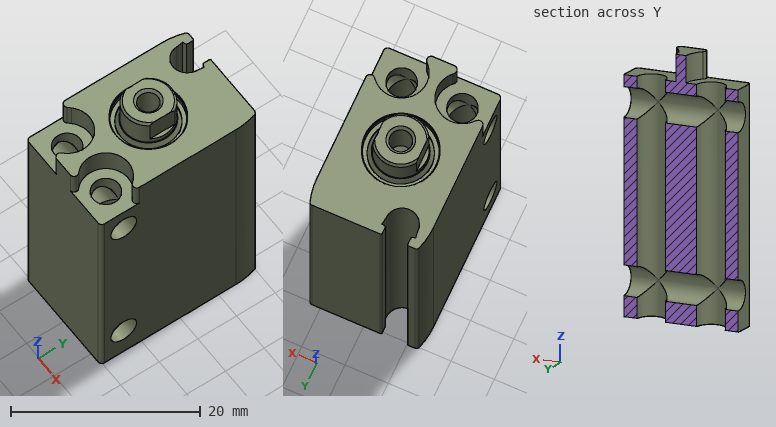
import cadquery as cq
import math

WIDTH = 13.5
DEPTH = 20.5
BODY_HEIGHT = 29.5
TOTAL_HEIGHT = 32.5
EDGE_RADIUS = 0.5
BACK_EDGE_RADIUS = 0.4
SIDE_CURVE_LENGTH = 3.0
SIDE_CURVE_INSET = 0.52

HOLE_DIAMETER = 3.3
HOLE_HALF_SPACING = 3.5
HOLE_Y = 3.0
RECESS_DIAMETER = 5.8
RECESS_DEPTH = 3.0
CROSS_HOLE_HEIGHTS = (4.0, 23.5)

SLOT_X = -3.58
SLOT_NECK_WIDTH = 2.95
SLOT_NECK_DEPTH = 0.98
SLOT_MOUTH_WIDTH = 3.87
SLOT_SHOULDER_RISE = 0.15
SLOT_DIAMETER = 3.65
SLOT_DEPTH = 3.77
SLOT_LIP_RADIUS = 0.15

ROD_Y = 11.0
ROD_DIAMETER = 6.0
ROD_CHAMFER = 0.25
ROD_BOTTOM_DROP = 5.0
FLAT_WIDTH = 5.07
FLAT_BOTTOM_GAP = 0.23
TAPPED_HOLE_DIAMETER = 2.47
TAPPED_HOLE_CHAMFER = 0.32
TAPPED_HOLE_DEPTH = 5.0
DRILL_POINT_ANGLE = 118.0
BORE_MOUTH_DIAMETER = 8.3
BORE_MOUTH_DEPTH = 0.25
BORE_DIAMETER = 8.1
BORE_DEPTH = 0.8

LIP_TOP_DIAMETER = 6.2
LIP_BASE_DIAMETER = 7.1
LIP_TOP_DROP = 0.4
LIP_BASE_DROP = 1.15


def cylinder(diameter, x, y, bottom, top):
    """Upright cylinder between two heights."""
    return cq.Workplane("XY", origin=(x, y, bottom)).circle(diameter / 2).extrude(top - bottom)


def make_block():
    half = WIDTH / 2
    curve_start = DEPTH - SIDE_CURVE_LENGTH
    back_half = half - SIDE_CURVE_INSET
    curve_radius = (SIDE_CURVE_LENGTH**2 + SIDE_CURVE_INSET**2) / (2 * SIDE_CURVE_INSET)
    mid_y = SIDE_CURVE_LENGTH / 2
    mid_x = half - curve_radius + math.sqrt(curve_radius**2 - mid_y**2)
    block = (
        cq.Workplane("XY")
        .moveTo(-half, 0)
        .lineTo(half, 0)
        .lineTo(half, curve_start)
        .threePointArc((mid_x, curve_start + mid_y), (back_half, DEPTH))
        .lineTo(-back_half, DEPTH)
        .threePointArc((-mid_x, curve_start + mid_y), (-half, curve_start))
        .close()
        .extrude(BODY_HEIGHT)
    )
    block = block.edges("|Z and <Y").fillet(EDGE_RADIUS)
    return block.edges("|Z and >Y").fillet(BACK_EDGE_RADIUS)


def make_corner_recess(side):
    """Round-ended recess that runs out diagonally through a front corner."""
    floor = BODY_HEIGHT - RECESS_DEPTH
    length = WIDTH
    channel = (
        cq.Workplane("XY")
        .rect(RECESS_DIAMETER, length)
        .extrude(RECESS_DEPTH)
        .translate((0, -length / 2, 0))
        .rotate((0, 0, 0), (0, 0, 1), side * 45)
        .translate((side * HOLE_HALF_SPACING, HOLE_Y, floor))
    )
    return channel.union(cylinder(RECESS_DIAMETER, side * HOLE_HALF_SPACING, HOLE_Y, floor, BODY_HEIGHT))


def cut_corner_recesses(body):
    for side in (-1, 1):
        body = body.cut(make_corner_recess(side))
    half_channel = RECESS_DIAMETER / 2 * math.sqrt(2)
    front_x = HOLE_HALF_SPACING - half_channel + HOLE_Y
    side_y = HOLE_Y + half_channel - (WIDTH / 2 - HOLE_HALF_SPACING)
    z = BODY_HEIGHT - RECESS_DEPTH / 2
    for side in (-1, 1):
        for x, y in ((front_x, 0), (WIDTH / 2, side_y)):
            body = body.edges(cq.selectors.NearestToPointSelector((side * x, y, z))).fillet(EDGE_RADIUS)
    return body


def cut_mounting_holes(body):
    for side in (-1, 1):
        body = body.cut(cylinder(HOLE_DIAMETER, side * HOLE_HALF_SPACING, HOLE_Y, 0, BODY_HEIGHT))
    cross_holes = (
        cq.Workplane("YZ", origin=(-WIDTH / 2, 0, 0))
        .pushPoints([(HOLE_Y, z) for z in CROSS_HOLE_HEIGHTS])
        .circle(HOLE_DIAMETER / 2)
        .extrude(WIDTH)
    )
    return body.cut(cross_holes)


def cut_sensor_slot(body):
    neck = SLOT_NECK_WIDTH / 2
    mouth = SLOT_MOUTH_WIDTH / 2
    radius = SLOT_DIAMETER / 2
    shoulder_y = DEPTH - SLOT_NECK_DEPTH - SLOT_SHOULDER_RISE
    centre_y = DEPTH - SLOT_DEPTH + radius
    slot = (
        cq.Workplane("XY")
        .moveTo(SLOT_X - neck, DEPTH)
        .lineTo(SLOT_X - neck, DEPTH - SLOT_NECK_DEPTH)
        .lineTo(SLOT_X - mouth, shoulder_y)
        .lineTo(SLOT_X - radius, centre_y)
        .threePointArc((SLOT_X, DEPTH - SLOT_DEPTH), (SLOT_X + radius, centre_y))
        .lineTo(SLOT_X + mouth, shoulder_y)
        .lineTo(SLOT_X + neck, DEPTH - SLOT_NECK_DEPTH)
        .lineTo(SLOT_X + neck, DEPTH)
        .close()
        .extrude(BODY_HEIGHT)
    )
    body = body.cut(slot)
    for side in (-1, 1):
        lip = (SLOT_X + side * neck, DEPTH, BODY_HEIGHT / 2)
        body = body.edges(cq.selectors.NearestToPointSelector(lip)).fillet(SLOT_LIP_RADIUS)
    return body


def make_wiper_lip():
    """Cone frustum left standing in the bore; the rod hole passes through it."""
    height = LIP_BASE_DROP - LIP_TOP_DROP
    return (
        cq.Workplane("XY", origin=(0, ROD_Y, BODY_HEIGHT - LIP_BASE_DROP))
        .circle(LIP_BASE_DIAMETER / 2)
        .workplane(offset=height)
        .circle(LIP_TOP_DIAMETER / 2)
        .loft()
    )


def cut_rod_bore(body):
    steps = (
        (BORE_MOUTH_DIAMETER, BORE_MOUTH_DEPTH),
        (BORE_DIAMETER, BORE_DEPTH),
        (LIP_BASE_DIAMETER, LIP_BASE_DROP),
    )
    bore = cylinder(ROD_DIAMETER, 0, ROD_Y, BODY_HEIGHT - ROD_BOTTOM_DROP, BODY_HEIGHT)
    lip = make_wiper_lip().cut(bore)
    for diameter, depth in steps:
        step = cylinder(diameter, 0, ROD_Y, BODY_HEIGHT - depth, BODY_HEIGHT)
        body = body.cut(step.cut(lip))
    return body.cut(bore)


def make_housing():
    body = make_block()
    body = cut_corner_recesses(body)
    body = cut_mounting_holes(body)
    body = cut_sensor_slot(body)
    return cut_rod_bore(body)


def make_tapped_hole():
    """Countersunk blind hole with a drill point, on the rod's axis."""
    radius = TAPPED_HOLE_DIAMETER / 2
    bottom = TOTAL_HEIGHT - TAPPED_HOLE_DEPTH
    point = radius / math.tan(math.radians(DRILL_POINT_ANGLE / 2))
    return (
        cq.Workplane("XZ")
        .moveTo(0, TOTAL_HEIGHT)
        .lineTo(radius + TAPPED_HOLE_CHAMFER, TOTAL_HEIGHT)
        .lineTo(radius, TOTAL_HEIGHT - TAPPED_HOLE_CHAMFER)
        .lineTo(radius, bottom)
        .lineTo(0, bottom - point)
        .close()
        .revolve(360, (0, 0, 0), (0, 1, 0))
    )


def make_rod():
    bottom = BODY_HEIGHT - ROD_BOTTOM_DROP
    rod = cylinder(ROD_DIAMETER, 0, 0, bottom, TOTAL_HEIGHT).faces(">Z").chamfer(ROD_CHAMFER)
    flat_bottom = BODY_HEIGHT + FLAT_BOTTOM_GAP
    flat_height = TOTAL_HEIGHT - flat_bottom
    flats = (
        cq.Workplane("XY", origin=(0, 0, flat_bottom))
        .rect(2 * ROD_DIAMETER, 2 * ROD_DIAMETER)
        .rect(FLAT_WIDTH, 2 * ROD_DIAMETER)
        .extrude(flat_height)
    )
    return rod.cut(flats).cut(make_tapped_hole()).translate((0, ROD_Y, 0))


housing = make_housing()
rod = make_rod()
result = cq.Compound.makeCompound([housing.val(), rod.val()])